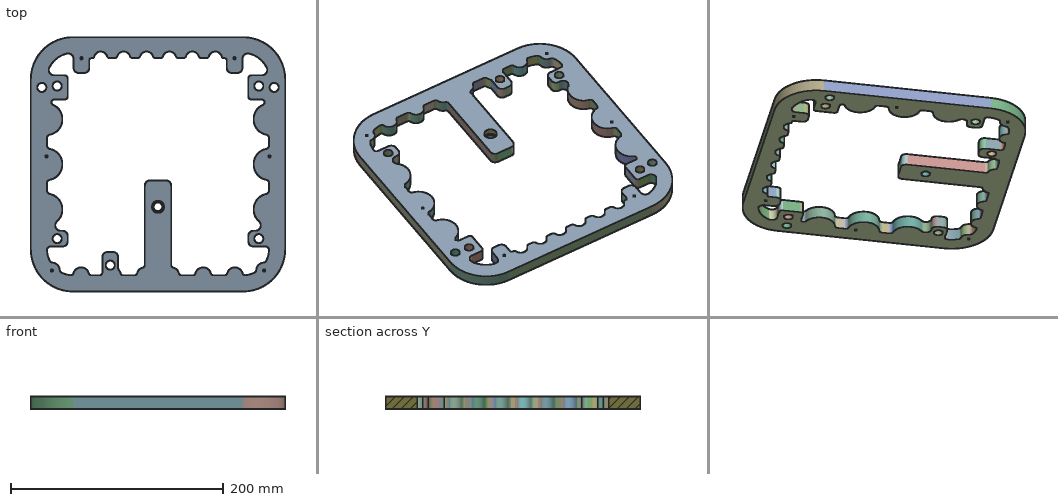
import cadquery as cq
import math

SIZE = 240.0
THICKNESS = 12.0
HALF = SIZE / 2
CORNER_RADIUS = 40.0
CORNER_CENTER = HALF - CORNER_RADIUS

SIDE_WALL = HALF - 15.5
CORNER_WINDOW_RADIUS = 25.0
TOP_WALL = 100.0
RAIL_OVERLAP = 5.0

HANGING_TAB_X = 72.2
HANGING_TAB_WIDTH = 15.0
HANGING_TAB_END = 86.0
TAB_ROUND = 5.0
POCKET_ROUND = 5.0

SCALLOP_COUNT = 6
SCALLOP_PITCH = 21.6
SCALLOP_RADIUS = 6.2
SCALLOP_ROUND = 3.0
SCALLOP_END_ROUND = 2.0

SIDE_TAB_END = 85.0
UPPER_TAB_LOW = 61.0
UPPER_TAB_HIGH = 84.0
UPPER_TAB_ROUND = 3.0
LOWER_TAB_Y = -70.0
LOWER_TAB_WIDTH = 15.0
LOWER_TAB_LOW = LOWER_TAB_Y - LOWER_TAB_WIDTH / 2
LOWER_TAB_HIGH = LOWER_TAB_Y + LOWER_TAB_WIDTH / 2
LOWER_TAB_ROUND = 5.0
LOWER_TAB_ROOT_ROUND = 3.0
SIDE_LOBE_X = 105.0
SIDE_LOBE_RADIUS = 15.0
SIDE_LOBE_PITCH = 42.5
SIDE_LOBE_ROUND = 3.0
UPPER_NOTCH_ROUND = 2.5
LOWER_NOTCH_ROUND = 5.0

POST_WIDTH = 25.0
POST_TOP = -15.0
POST_ROUND = 5.0
BOTTOM_TAB_X = -45.0
BOTTOM_TAB_WIDTH = 15.0
BOTTOM_TAB_TOP = -82.5
BOTTOM_TAB_ROOT_ROUND = 3.0
LOBE_RADIUS = 7.5
LOBE_PITCH = 30.0
LOBE_FIRST_X = POST_WIDTH / 2
LOBE_COUNT = 3
LOBE_XS = [LOBE_FIRST_X + i * LOBE_PITCH for i in range(LOBE_COUNT)]
LOBE_ROUND = 2.5
CORNER_LOBE = 100.0
CORNER_LOBE_ROUND = 3.0

MOUNT_HOLE = 8.4
OUTER_HOLE_X = 109.5
OUTER_HOLE_Y = 72.5
INNER_HOLE_X = 95.0
INNER_HOLE_Y = 73.8
BOTTOM_TAB_HOLE_Y = -95.0
POST_HOLE = 8.1
POST_HOLE_Y = -40.0
POST_COUNTERBORE = 11.5
POST_COUNTERBORE_DEPTH = 6.0
PIN_HOLE = 2.0
SIDE_PIN_Y = 7.5


def block(x_low, x_high, y_low, y_high):
    """Full-thickness block between two X and two Y positions."""
    return (
        cq.Workplane("XY")
        .center((x_low + x_high) / 2, (y_low + y_high) / 2)
        .rect(x_high - x_low, y_high - y_low)
        .extrude(THICKNESS)
    )


def discs(points, radius):
    """Full-thickness discs centred on the given points."""
    return cq.Workplane("XY").pushPoints(points).circle(radius).extrude(THICKNESS)


def mirrored(points):
    """The points on both sides of the YZ plane."""
    return [(side * x, y) for side in (-1, 1) for x, y in points]


def round_edges(body, points, radius):
    """Fillet the upright edges that stand nearest to the given points."""
    for x, y in points:
        edge = body.edges("|Z").edges(cq.NearestToPointSelector((x, y, THICKNESS / 2)))
        body = edge.fillet(radius)
    return body


def leg(hypotenuse, other_leg):
    """Remaining leg of a right triangle."""
    return math.sqrt(hypotenuse**2 - other_leg**2)


def make_frame():
    """Rounded plate with its window; the top rail is thicker between the tabs."""
    plate = block(-HALF, HALF, -HALF, HALF).edges("|Z").fillet(CORNER_RADIUS)
    window_top = CORNER_CENTER + CORNER_WINDOW_RADIUS
    window = block(-SIDE_WALL, SIDE_WALL, -SIDE_WALL, CORNER_CENTER)
    window = window.edges("|Z and <Y").fillet(SIDE_WALL - CORNER_CENTER)
    window = window.union(block(-CORNER_CENTER, CORNER_CENTER, 0, window_top))
    corners = [(-CORNER_CENTER, CORNER_CENTER), (CORNER_CENTER, CORNER_CENTER)]
    window = window.union(discs(corners, CORNER_WINDOW_RADIUS))
    top_rail = block(-HANGING_TAB_X, HANGING_TAB_X, TOP_WALL, window_top + RAIL_OVERLAP)
    return plate.cut(window).union(top_rail)


def add_hanging_tabs(body):
    inner = HANGING_TAB_X - HANGING_TAB_WIDTH / 2
    outer = HANGING_TAB_X + HANGING_TAB_WIDTH / 2
    for low, high in ((-outer, -inner), (inner, outer)):
        body = body.union(block(low, high, HANGING_TAB_END, HALF - RAIL_OVERLAP))
    body = round_edges(body, mirrored([(inner, HANGING_TAB_END), (outer, HANGING_TAB_END)]), TAB_ROUND)
    pocket_top = CORNER_CENTER + leg(CORNER_WINDOW_RADIUS, outer - CORNER_CENTER)
    return round_edges(body, mirrored([(outer, pocket_top)]), POCKET_ROUND)


def cut_scallops(body):
    """Row of half-round scallops in the top rail, with rounded teeth between them."""
    first = -(SCALLOP_COUNT - 1) / 2 * SCALLOP_PITCH
    centers = [first + i * SCALLOP_PITCH for i in range(SCALLOP_COUNT)]
    body = body.cut(discs([(x, TOP_WALL) for x in centers], SCALLOP_RADIUS))
    lips = [(x + side * SCALLOP_RADIUS, TOP_WALL) for x in centers for side in (-1, 1)]
    inner_teeth = lips[1:-1]
    body = round_edges(body, inner_teeth, SCALLOP_ROUND)
    end_lips = [lips[0], lips[-1]]
    tab_root = HANGING_TAB_X - HANGING_TAB_WIDTH / 2
    return round_edges(body, end_lips + mirrored([(tab_root, TOP_WALL)]), SCALLOP_END_ROUND)


def add_side_features(body):
    """Tabs and half-round lobes on the left and right rails."""
    buried_end = SIDE_WALL + RAIL_OVERLAP
    lobe_ys = [-SIDE_LOBE_PITCH, 0, SIDE_LOBE_PITCH]
    body = body.union(discs(mirrored([(SIDE_LOBE_X, y) for y in lobe_ys]), SIDE_LOBE_RADIUS))
    for low, high in ((UPPER_TAB_LOW, UPPER_TAB_HIGH), (LOWER_TAB_LOW, LOWER_TAB_HIGH)):
        body = body.union(block(-buried_end, -SIDE_TAB_END, low, high))
        body = body.union(block(SIDE_TAB_END, buried_end, low, high))

    pocket_side = CORNER_CENTER + leg(CORNER_WINDOW_RADIUS, UPPER_TAB_HIGH - CORNER_CENTER)
    body = round_edges(body, mirrored([(pocket_side, UPPER_TAB_HIGH)]), POCKET_ROUND)
    upper_corners = [(SIDE_TAB_END, UPPER_TAB_LOW), (SIDE_TAB_END, UPPER_TAB_HIGH)]
    body = round_edges(body, mirrored(upper_corners), UPPER_TAB_ROUND)
    lower_corners = [(SIDE_TAB_END, LOWER_TAB_LOW), (SIDE_TAB_END, LOWER_TAB_HIGH)]
    body = round_edges(body, mirrored(lower_corners), LOWER_TAB_ROUND)
    body = round_edges(body, mirrored([(SIDE_WALL, LOWER_TAB_LOW)]), LOWER_TAB_ROOT_ROUND)

    lobe_reach = leg(SIDE_LOBE_RADIUS, SIDE_LOBE_X - SIDE_WALL)
    valleys = [
        (SIDE_WALL, SIDE_LOBE_PITCH - lobe_reach),
        (SIDE_WALL, lobe_reach),
        (SIDE_WALL, -lobe_reach),
        (SIDE_WALL, lobe_reach - SIDE_LOBE_PITCH),
    ]
    body = round_edges(body, mirrored(valleys), SIDE_LOBE_ROUND)
    body = fill_notch(body, UPPER_TAB_LOW, SIDE_LOBE_PITCH, UPPER_NOTCH_ROUND)
    return fill_notch(body, LOWER_TAB_HIGH, -SIDE_LOBE_PITCH, LOWER_NOTCH_ROUND)


def fill_notch(body, tab_y, lobe_y, radius):
    """Close the gap between a side tab and its lobe with a round tangent to both."""
    toward_lobe = math.copysign(1, lobe_y - tab_y)
    round_y = tab_y + toward_lobe * radius
    round_x = SIDE_LOBE_X - leg(SIDE_LOBE_RADIUS + radius, round_y - lobe_y)
    share = SIDE_LOBE_RADIUS / (SIDE_LOBE_RADIUS + radius)
    touch_x = SIDE_LOBE_X + (round_x - SIDE_LOBE_X) * share
    touch_y = lobe_y + (round_y - lobe_y) * share
    for side in (-1, 1):
        web = (
            cq.Workplane("XY")
            .moveTo(side * SIDE_LOBE_X, lobe_y)
            .lineTo(side * touch_x, touch_y)
            .threePointArc((side * (round_x + radius), round_y), (side * round_x, tab_y))
            .lineTo(side * SIDE_LOBE_X, tab_y)
            .close()
            .extrude(THICKNESS)
        )
        body = body.union(web)
    return body


def add_bottom_features(body):
    """Centre post, bottom tab and the small lobes of the bottom rail."""
    buried_end = -SIDE_WALL - RAIL_OVERLAP
    post_side = POST_WIDTH / 2
    tab_left = BOTTOM_TAB_X - BOTTOM_TAB_WIDTH / 2
    tab_right = BOTTOM_TAB_X + BOTTOM_TAB_WIDTH / 2
    body = body.union(block(-post_side, post_side, buried_end, POST_TOP))
    body = body.union(block(tab_left, tab_right, buried_end, BOTTOM_TAB_TOP))
    body = body.union(discs(mirrored([(x, -SIDE_WALL) for x in LOBE_XS]), LOBE_RADIUS))
    body = body.union(discs(mirrored([(CORNER_LOBE, -CORNER_LOBE)]), LOBE_RADIUS))

    body = round_edges(body, mirrored([(post_side, POST_TOP)]), POST_ROUND)
    body = round_edges(body, [(tab_left, BOTTOM_TAB_TOP), (tab_right, BOTTOM_TAB_TOP)], TAB_ROUND)
    body = round_edges(body, [(tab_left, -SIDE_WALL)], BOTTOM_TAB_ROOT_ROUND)

    near, middle, far = LOBE_XS
    roots = mirrored([(near + LOBE_RADIUS, -SIDE_WALL), (far - LOBE_RADIUS, -SIDE_WALL)])
    roots += mirrored([(far + LOBE_RADIUS, -SIDE_WALL)])
    roots += [(middle - LOBE_RADIUS, -SIDE_WALL), (middle + LOBE_RADIUS, -SIDE_WALL)]
    roots += [(LOBE_RADIUS - middle, -SIDE_WALL)]
    body = round_edges(body, roots, LOBE_ROUND)
    post_root_y = -SIDE_WALL + LOBE_RADIUS
    tab_root_y = -SIDE_WALL + leg(LOBE_RADIUS, tab_right + middle)
    body = round_edges(body, mirrored([(post_side, post_root_y)]) + [(tab_right, tab_root_y)], LOBE_ROUND)

    corner_radius = SIDE_WALL - CORNER_CENTER
    gap = math.sqrt(2) * (CORNER_LOBE - CORNER_CENTER)
    along = (corner_radius**2 - LOBE_RADIUS**2 + gap**2) / (2 * gap)
    swing = math.acos(along / corner_radius)
    crossings = []
    for turn in (-swing, swing):
        angle = turn + math.pi / 4
        x = CORNER_CENTER + corner_radius * math.cos(angle)
        y = CORNER_CENTER + corner_radius * math.sin(angle)
        crossings.append((x, -y))
    return round_edges(body, mirrored(crossings), CORNER_LOBE_ROUND)


def drill_holes(body):
    mounts = mirrored([
        (OUTER_HOLE_X, OUTER_HOLE_Y),
        (INNER_HOLE_X, INNER_HOLE_Y),
        (INNER_HOLE_X, LOWER_TAB_Y),
    ])
    mounts.append((BOTTOM_TAB_X, BOTTOM_TAB_HOLE_Y))
    pins = mirrored([
        (HANGING_TAB_X, TOP_WALL),
        (SIDE_LOBE_X, SIDE_PIN_Y),
        (CORNER_LOBE, -CORNER_LOBE),
    ])
    body = body.cut(discs(mounts, MOUNT_HOLE / 2)).cut(discs(pins, PIN_HOLE / 2))
    return (
        body.faces(">Z")
        .workplane(origin=(0, POST_HOLE_Y, THICKNESS))
        .cboreHole(POST_HOLE, POST_COUNTERBORE, POST_COUNTERBORE_DEPTH)
    )


frame = make_frame()
frame = add_hanging_tabs(frame)
frame = cut_scallops(frame)
frame = add_side_features(frame)
frame = add_bottom_features(frame)
result = drill_holes(frame)